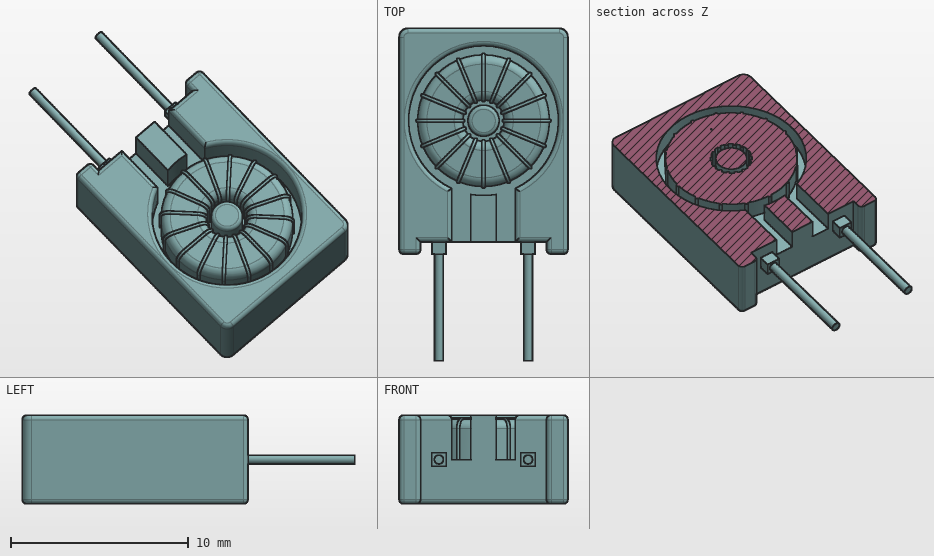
import cadquery as cq
import math

TOTAL_LENGTH = 18.7
WIDTH = 9.5
HEIGHT = 5.0
BODY_LENGTH = 12.7
BACK_Y = 5.2
FRONT_Y = BACK_Y - BODY_LENGTH
FOOT_LENGTH = 0.67
FOOT_WIDTH = 1.22
FACE_Y = FRONT_Y + FOOT_LENGTH
BACK_CORNER_RADIUS = 0.5
EDGE_RADIUS = 0.26

POCKET_RADIUS = 4.2
POCKET_DEPTH = 2.5
FLOOR_Z = HEIGHT - POCKET_DEPTH
CHANNEL_WIDTH = 3.55
DIVIDER_WIDTH = 1.42

CORE_TOP_Z = HEIGHT - 0.25
CORE_OUTER_RADIUS = 3.7
CORE_INNER_RADIUS = 1.16
CORE_ROUND = 0.5
POST_RADIUS = 0.88
POST_ROUND = 0.22

WIRE_COUNT = 16
WIRE_RADIUS = 0.1

LEAD_OFFSET_X = 2.5
LEAD_Z = HEIGHT / 2
LEAD_DIAMETER = 0.5
LEAD_END_Y = BACK_Y - TOTAL_LENGTH
COLLAR_WIDTH = 0.8
COLLAR_HEIGHT = 0.75

OVERLAP = 0.19


def block(width, y_min, y_max, z_min, z_max, x_center=0):
    """Box centred on x_center and given by its Y and Z limits."""
    return (
        cq.Workplane("XY")
        .box(width, y_max - y_min, z_max - z_min, centered=(True, False, False))
        .translate((x_center, y_min, z_min))
    )


def make_housing():
    body = block(WIDTH, FRONT_Y, BACK_Y, 0, HEIGHT)
    body = body.cut(block(WIDTH - 2 * FOOT_WIDTH, FRONT_Y, FACE_Y, 0, HEIGHT))
    body = body.edges("|Z and >Y").fillet(BACK_CORNER_RADIUS)
    body = body.edges("|Z and <Y").fillet(EDGE_RADIUS)

    pocket = cq.Workplane("XY").workplane(offset=FLOOR_Z).circle(POCKET_RADIUS).extrude(POCKET_DEPTH)
    channel = block(CHANNEL_WIDTH, FACE_Y, 0, FLOOR_Z, HEIGHT)
    body = body.cut(pocket.union(channel))
    body = body.faces("<Z or >Z").edges().fillet(EDGE_RADIUS)

    divider_bottom = FLOOR_Z - OVERLAP
    divider = block(DIVIDER_WIDTH, FACE_Y, 0, divider_bottom, HEIGHT).cut(pocket)
    return body.union(divider)


def make_core():
    height = CORE_TOP_Z - FLOOR_Z + OVERLAP
    base = cq.Workplane("XY").workplane(offset=FLOOR_Z - OVERLAP)
    ring = base.circle(CORE_OUTER_RADIUS).circle(CORE_INNER_RADIUS).extrude(height)
    ring = ring.faces(">Z").edges().fillet(CORE_ROUND)
    post = base.circle(POST_RADIUS).extrude(height).faces(">Z").edges().fillet(POST_ROUND)
    return ring.union(post)


def make_wire():
    """One turn of wire along +X: up the bore, over the rounded top and down the outside."""
    start_z = FLOOR_Z - OVERLAP
    bend_z = CORE_TOP_Z - CORE_ROUND
    inner_bend_x = CORE_INNER_RADIUS + CORE_ROUND
    outer_bend_x = CORE_OUTER_RADIUS - CORE_ROUND
    reach = CORE_ROUND * math.sqrt(0.5)
    path = (
        cq.Workplane("XZ")
        .moveTo(CORE_INNER_RADIUS, start_z)
        .lineTo(CORE_INNER_RADIUS, bend_z)
        .threePointArc((inner_bend_x - reach, bend_z + reach), (inner_bend_x, CORE_TOP_Z))
        .lineTo(outer_bend_x, CORE_TOP_Z)
        .threePointArc((outer_bend_x + reach, bend_z + reach), (CORE_OUTER_RADIUS, bend_z))
        .lineTo(CORE_OUTER_RADIUS, start_z)
    )
    profile = cq.Workplane("XY", origin=(CORE_INNER_RADIUS, 0, start_z)).circle(WIRE_RADIUS)
    return profile.sweep(path)


def make_lead(x):
    collar = block(
        COLLAR_WIDTH, FRONT_Y, FACE_Y + OVERLAP,
        LEAD_Z - COLLAR_HEIGHT / 2, LEAD_Z + COLLAR_HEIGHT / 2, x,
    )
    pin = (
        cq.Workplane("XZ", origin=(x, FACE_Y, LEAD_Z))
        .circle(LEAD_DIAMETER / 2)
        .extrude(FACE_Y - LEAD_END_Y)
    )
    return collar.union(pin)


result = make_housing().union(make_core())

wire = make_wire()
for turn in range(WIRE_COUNT):
    result = result.union(wire.rotate((0, 0, 0), (0, 0, 1), turn * 360 / WIRE_COUNT))

for side in (-1, 1):
    result = result.union(make_lead(side * LEAD_OFFSET_X))